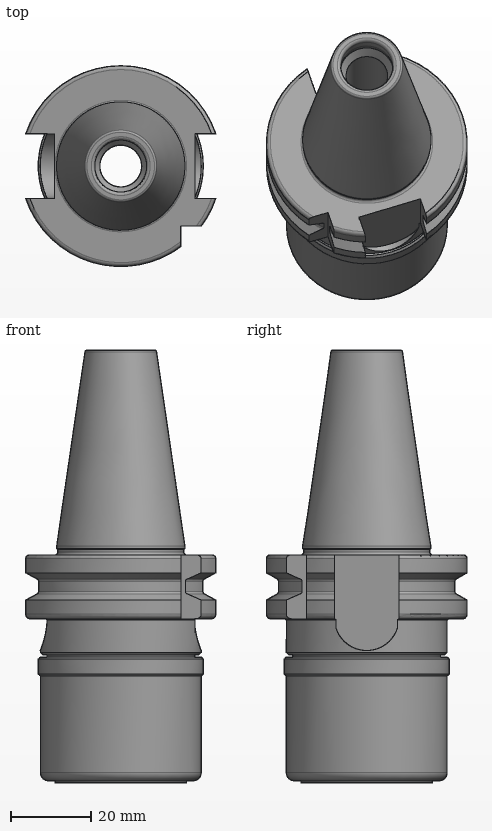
import cadquery as cq
import math

total_height = 107.8

taper_ratio = 7 / 24
gauge_z = 60.0
gauge_radius = 15.8
taper_bottom_z = 59.0
taper_tip_fillet = 0.5

undercut_radius = 15.7
undercut_top_z = 58.1
undercut_fillet = 0.6
rim_bottom_z = 58.4

flange_radius = 25.0
flange_bottom_z = 40.9
flange_top_z = 56.8
flange_top_fillet = 1.0
flange_bottom_fillet = 1.2
groove_radius = 22.0
groove_middle_z = 48.9
groove_mouth_width = 6.8
groove_flank_angle = 30.0
groove_root_fillet = 0.6

body_radius = 20.0
body_bottom_z = 31.9
body_edge_chamfer = 0.6
body_top_fillet = 0.3

gap_radius = 18.4

collar_radius = 20.6
collar_bottom_z = 26.6
collar_top_z = 31.4
nut_bottom_z = 0.5
nut_fillet = 2.0
end_face_radius = 16.4

slot_width = 16.1
slot_bottom_z = 33.0
left_flat_distance = 16.5
right_flat_distance = 18.5

notch_distance = 15.0

bore_radius = 5.2
counterbore_radius = 6.5
counterbore_depth = 3.2
counterbore_fillet = 0.9
relief_radius = 6.7
relief_flare_depth = 4.2
relief_depth = 5.1
seat_depth = 7.1


def taper_radius(z):
    return gauge_radius - (z - gauge_z) * taper_ratio / 2


def fillet_midpoint_offset(radius):
    """Distance of a quarter arc's midpoint from each of the two lines it is tangent to."""
    return radius * (1 - math.sqrt(0.5))


def revolve(profile):
    """Close a radius-height profile and turn it about the Z axis."""
    return profile.close().revolve(360, (0, 0, 0), (0, 1, 0))


def make_shank():
    profile = (
        cq.Workplane("XZ")
        .moveTo(0, flange_bottom_z)
        .lineTo(undercut_radius, flange_bottom_z)
        .lineTo(undercut_radius, undercut_top_z)
        .lineTo(taper_radius(taper_bottom_z), rim_bottom_z)
        .lineTo(taper_radius(taper_bottom_z), taper_bottom_z)
        .lineTo(taper_radius(total_height), total_height)
        .lineTo(0, total_height)
    )
    return revolve(profile).faces(">Z").edges().fillet(taper_tip_fillet)


def make_flange():
    flange_height = flange_top_z - flange_bottom_z
    flange = cq.Workplane("XY").workplane(offset=flange_bottom_z).circle(flange_radius).extrude(flange_height)
    flange = flange.faces(">Z").edges().fillet(flange_top_fillet)
    flange = flange.faces("<Z").edges().fillet(flange_bottom_fillet)

    groove_depth = flange_radius - groove_radius
    mouth_half = groove_mouth_width / 2
    root_half = mouth_half - groove_depth * math.tan(math.radians(groove_flank_angle))
    ring = revolve(
        cq.Workplane("XZ")
        .moveTo(groove_radius, groove_middle_z - root_half)
        .lineTo(flange_radius, groove_middle_z - mouth_half)
        .lineTo(flange_radius, groove_middle_z + mouth_half)
        .lineTo(groove_radius, groove_middle_z + root_half)
    )
    root_edges = cq.selectors.RadiusNthSelector(0)
    return flange.cut(ring.edges("%CIRCLE").edges(root_edges).fillet(groove_root_fillet))


def make_body():
    profile = (
        cq.Workplane("XZ")
        .moveTo(0, collar_top_z)
        .lineTo(gap_radius, collar_top_z)
        .lineTo(gap_radius, body_bottom_z)
        .lineTo(body_radius - body_edge_chamfer, body_bottom_z)
        .lineTo(body_radius, body_bottom_z + body_edge_chamfer)
        .lineTo(body_radius, flange_bottom_z)
        .lineTo(0, flange_bottom_z)
    )
    return revolve(profile)


def make_nut():
    collar_chamfer = collar_radius - body_radius
    arc_offset = fillet_midpoint_offset(nut_fillet)
    profile = (
        cq.Workplane("XZ")
        .lineTo(end_face_radius, 0)
        .lineTo(end_face_radius, nut_bottom_z)
        .lineTo(body_radius - nut_fillet, nut_bottom_z)
        .threePointArc(
            (body_radius - arc_offset, nut_bottom_z + arc_offset),
            (body_radius, nut_bottom_z + nut_fillet),
        )
        .lineTo(body_radius, collar_bottom_z)
        .lineTo(collar_radius, collar_bottom_z + collar_chamfer)
        .lineTo(collar_radius, collar_top_z - collar_chamfer)
        .lineTo(collar_radius - collar_chamfer, collar_top_z)
        .lineTo(0, collar_top_z)
    )
    return revolve(profile)


def make_fillet_ring(shaft_radius, face_z, fillet, direction):
    """Ring blending a shaft into a flange face; direction is +1 above the face and -1 below it."""
    arc_offset = fillet_midpoint_offset(fillet)
    profile = (
        cq.Workplane("XZ")
        .moveTo(shaft_radius, face_z)
        .lineTo(shaft_radius + fillet, face_z)
        .threePointArc(
            (shaft_radius + arc_offset, face_z + direction * arc_offset),
            (shaft_radius, face_z + direction * fillet),
        )
    )
    return revolve(profile)


def make_drive_slot(flat_distance, side):
    """Round-ended slot cut outward from a flat; side is +1 for +X and -1 for -X."""
    slot_radius = slot_width / 2
    arc_center_z = slot_bottom_z + slot_radius
    return (
        cq.Workplane("YZ")
        .workplane(offset=side * flat_distance)
        .moveTo(-slot_radius, flange_top_z)
        .lineTo(-slot_radius, arc_center_z)
        .threePointArc((0, slot_bottom_z), (slot_radius, arc_center_z))
        .lineTo(slot_radius, flange_top_z)
        .close()
        .extrude(side * flange_radius)
    )


def make_notch():
    corner = (notch_distance, -notch_distance - flange_radius, flange_bottom_z)
    flange_height = flange_top_z - flange_bottom_z
    block = cq.Workplane("XY").box(flange_radius, flange_radius, flange_height, centered=False)
    return block.translate(corner)


def make_bore():
    mouth_radius = counterbore_radius + counterbore_fillet
    arc_offset = fillet_midpoint_offset(counterbore_fillet)
    profile = (
        cq.Workplane("XZ")
        .lineTo(bore_radius, 0)
        .lineTo(bore_radius, total_height - seat_depth)
        .lineTo(relief_radius, total_height - relief_depth)
        .lineTo(relief_radius, total_height - relief_flare_depth)
        .lineTo(counterbore_radius, total_height - counterbore_depth)
        .lineTo(counterbore_radius, total_height - counterbore_fillet)
        .threePointArc(
            (counterbore_radius + arc_offset, total_height - arc_offset),
            (mouth_radius, total_height),
        )
        .lineTo(0, total_height)
    )
    return revolve(profile)


solid = make_nut().union(make_body()).union(make_flange()).union(make_shank())
solid = solid.union(make_fillet_ring(undercut_radius, flange_top_z, undercut_fillet, 1))
solid = solid.union(make_fillet_ring(body_radius, flange_bottom_z, body_top_fillet, -1))
solid = solid.cut(make_drive_slot(left_flat_distance, -1))
solid = solid.cut(make_drive_slot(right_flat_distance, 1))
solid = solid.cut(make_notch())
result = solid.cut(make_bore())